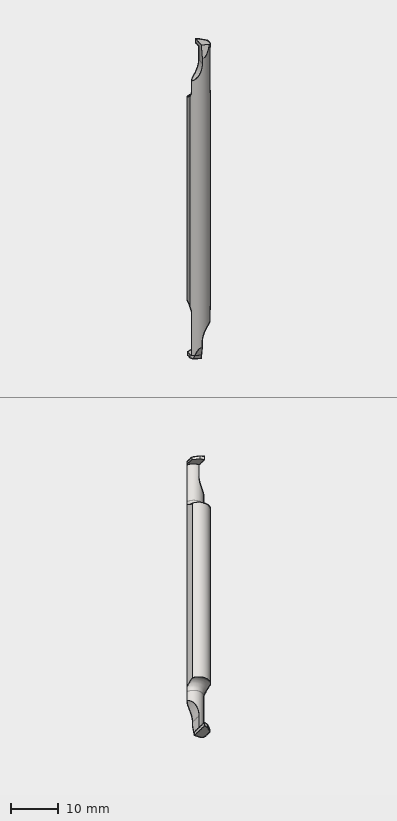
import cadquery as cq
import math

length = 70.0
half_length = length / 2
shank_radius = 2.5
width_over_flats = 4.5
half_width = width_over_flats / 2

neck_radius = 2.2
neck_center_x = 2.0
cove_radius = 2.0
shoulder_z = half_length - 12.3
clear_radius = 7.0

flat_length = 3.9
runout_radius = 5.0
runout_depth = 2.25

blade_thickness = 0.9
blade_tip_x = -2.3
heel_x, heel_y = -2.0, 0.9
flank_end_x = -0.85
end_relief = 0.15
side_relief = 0.1

bevel_top_x = 1.75
bevel_length = 2.8


def shank_section(z_start, height):
    """Round bar with two parallel flats."""
    bar = cq.Workplane("XY", origin=(0, 0, z_start)).circle(shank_radius).extrude(height)
    slab = cq.Workplane("XY", origin=(0, 0, z_start)).rect(
        2 * clear_radius, width_over_flats).extrude(height)
    return bar.intersect(slab)


def neck_envelope():
    """Revolved envelope of shank, cove and neck about the neck axis."""
    cove_outer = neck_radius + cove_radius
    cove_mid = cove_radius * (1 - math.sqrt(0.5))
    return (
        cq.Workplane("XZ", origin=(neck_center_x, 0, 0))
        .lineTo(clear_radius, 0)
        .lineTo(clear_radius, shoulder_z)
        .lineTo(cove_outer, shoulder_z)
        .threePointArc((neck_radius + cove_mid, shoulder_z + cove_mid),
                       (neck_radius, shoulder_z + cove_radius))
        .lineTo(neck_radius, half_length)
        .lineTo(0, half_length)
        .close()
        .revolve(360, (0, 0, 0), (0, 1, 0))
    )


def rake_flat_cutter():
    """Material removed in front of the centre plane, including the run-out."""
    flat_z = half_length - flat_length

    def runout_z(depth):
        return flat_z - math.sqrt(runout_radius**2 - (runout_radius - depth)**2)

    mid_depth = runout_depth / 4
    return (
        cq.Workplane("YZ", origin=(-clear_radius, 0, 0))
        .moveTo(0, half_length)
        .lineTo(0, flat_z)
        .threePointArc((-mid_depth, runout_z(mid_depth)), (-runout_depth, runout_z(runout_depth)))
        .lineTo(-clear_radius, runout_z(runout_depth))
        .lineTo(-clear_radius, half_length)
        .close()
        .extrude(2 * clear_radius)
    )


def blade_layer():
    """Slab holding the blade; it thins away from the cutting edge."""
    inner_z = half_length - blade_thickness
    return (
        cq.Workplane("YZ", origin=(-clear_radius, 0, 0))
        .polyline([(0, half_length), (half_width, half_length - end_relief),
                   (half_width, inner_z + side_relief), (0, inner_z)])
        .close()
        .extrude(2 * clear_radius)
    )


def bevel_cutter():
    """Wedge removed from the back corner of the head."""
    slope = (shank_radius - bevel_top_x) / bevel_length
    return (
        cq.Workplane("XZ", origin=(0, clear_radius, 0))
        .polyline([(bevel_top_x, half_length), (shank_radius, half_length - bevel_length),
                   (clear_radius, half_length - (clear_radius - bevel_top_x) / slope),
                   (clear_radius, half_length)])
        .close()
        .extrude(2 * clear_radius)
    )


def make_blade():
    """Hooked blade with two relief flats behind its tip."""
    outline = (
        cq.Workplane("XY")
        .polyline([(blade_tip_x, 0), (heel_x, heel_y), (flank_end_x, half_width),
                   (shank_radius, half_width), (shank_radius, 0)])
        .close()
        .extrude(half_length)
    )
    return outline.intersect(shank_section(0, half_length)).intersect(blade_layer()).cut(bevel_cutter())


def make_half_bar():
    """Upper half of the bar, up to the inner face of the blade."""
    half = shank_section(0, half_length).intersect(neck_envelope())
    half = half.cut(rake_flat_cutter())
    return half.cut(blade_layer()).cut(end_sliver_cutter()).cut(bevel_cutter())


def end_sliver_cutter():
    """Wedge above the relieved end face of the blade."""
    return (
        cq.Workplane("YZ", origin=(-clear_radius, 0, 0))
        .polyline([(0, half_length), (half_width, half_length),
                   (half_width, half_length - end_relief)])
        .close()
        .extrude(2 * clear_radius)
    )


def turn_to_lower_end(body):
    return body.rotate((0, 0, 0), (1, 0, 0), 180)


half_bar = make_half_bar()
bar = half_bar.union(turn_to_lower_end(half_bar)).union(make_blade())

lower_blade = turn_to_lower_end(make_blade())

result = cq.Compound.makeCompound([bar.val(), lower_blade.val()])